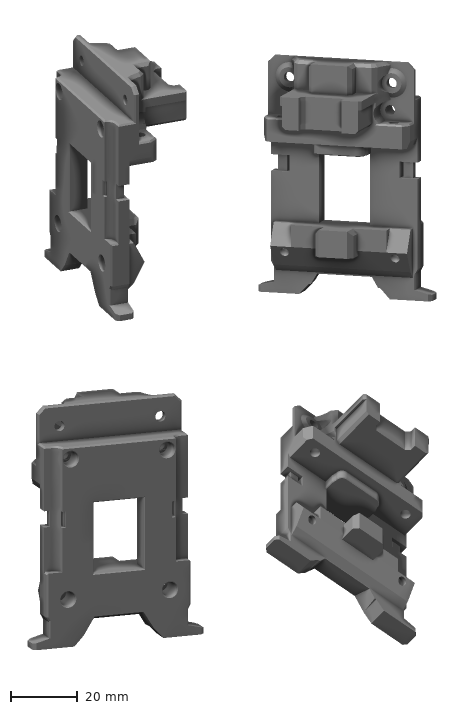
import cadquery as cq
import math

HEIGHT = 72.79
FOOT_HALF = 54.63 / 2
DEPTH = 29.58
HALF_WIDTH = 23.0
PLATE_T = 6.0
EDGE = 0.5

NECK_HALF = 22.2
NECK_EDGE = 0.3
NECK_TOP, SHOULDER_Z = 8.1, 9.6
FOOT_TOP, FOOT_END_Z = 3.2, 1.9
FOOT_CORNER = 1.0
ARCH_BASE_HALF, ARCH_STEP_HALF = 14.25, 11.25
ARCH_FRONT = [(11.25, 3.2), (7.8, 8.7)]
ARCH_BACK = [(10.6, 3.2), (8.6, 6.5)]

WINDOW_HALF, WINDOW_BOTTOM, WINDOW_TOP = 8.05, 21.9, 43.95
WINDOW_EDGE = 0.3

LEDGE_Z = 61.8
BACK_Y = 9.23
FLANGE_FRONT_Y = 7.7
FLANGE_CORNER = 2.1

GROOVE_R, GROOVE_X, GROOVE_BOTTOM = 2.5, 20.65, 23.3

TIE_BOTTOM, TIE_TOP = 37.0, 42.0
TIE_NOTCH_X = 21.2
TIE_SLOT_IN, TIE_SLOT_OUT = 17.3, 18.3
TIE_LIP, TIE_LIP_DEPTH = 0.4, 0.8
TIE_GROOVE_DEPTH = 1.0

SHELF_BOTTOM, SHELF_TOP, SHELF_Y = 47.6, 54.9, 15.7
SHELF_CORNER_X, SHELF_CORNER_Y = 1.8, 2.6
SHELF_UNDERCUT, SHELF_UNDERCUT_X = 2.0, 0.75
SHELF_HOLE_X, SHELF_HOLE_Y, SHELF_HOLE_D = 17.5, 12.1, 3.1

STOP_HALF, STOP_STEP_HALF = 8.0, 8.4
STOP_EDGE = 0.25
STOP_Y, STOP_STEP_Y, STOP_WIDE_Y, STOP_ROUND = 12.75, 10.4, 8.95, 2.3

ARM_HALF, ARM_BOTTOM, ARM_TOP = 12.8, 54.1, 64.0
ARM_UNDER_CHAMFER = 1.0
ARM_STEP_Z = 61.3
ARM_CORNER_X, ARM_CORNER_Y = 0.8, 0.7
NOTCH_HALF, NOTCH_FLOOR_HALF = 6.78, 5.5
NOTCH_FLOOR_Y, NOTCH_CORNER_Y = 26.5, 27.7
TOWER_CORNER = 1.2
TOWER_CHAMFER = 1.0
TONGUE_Y, TONGUE_CORNER = 20.55, 1.2
FLARE_Y = 16.9
FLARE_HALF = 15.5

FLANGE_SCREW_X, FLANGE_SCREW_Z, FLANGE_SCREW_D = 16.13, 66.45, 3.2
FLANGE_HEAD_D, SEAT_BASE_D, SEAT_HEIGHT = 6.1, 8.9, 0.75
SLAB_SCREW_X, SLAB_SCREW_Z, SLAB_SCREW_D = 15.4, 58.05, 3.1
SLAB_HEAD_D = 6.2
RAMP_TOP = (13.0, 56.1)
RAMP_FOOT_X = 14.0
INSERT_D, INSERT_DEPTH = 4.7, 5.7
INSERT_EDGE = 0.25
BRIDGE_STEP = 0.25
LOWER_SCREW_X, LOWER_SCREW_Z, LOWER_DEPTH = 16.25, 14.75, 8.0
VENT_X, VENT_Z, VENT_D, VENT_LENGTH = 17.4, 16.05, 2.8, 6.0

RIB_HALF = 21.5
RIB_FULL_HALF = 15.0
RIB_TOP, RIB_Y = WINDOW_BOTTOM, 11.66
RIB_PROFILE = [(PLATE_T, 6.9), (8.3, 9.0), (RIB_Y, 15.2)]
RIB_SLOPE_Y = 8.2
BLOCK_HALF, BLOCK_BOTTOM, BLOCK_Y, BLOCK_CHAMFER = 6.0, 13.65, 17.2, 1.5


def box(x0, x1, y0, y1, z0, z1):
    """Box given by its limits along each axis."""
    return cq.Workplane("XY").box(x1 - x0, y1 - y0, z1 - z0, centered=False).translate((x0, y0, z0))


def extrude_y(points, y0, y1):
    """Closed XZ outline extruded from y0 to y1."""
    return cq.Workplane("XZ", origin=(0, y0, 0)).polyline(points).close().extrude(y0 - y1)


def extrude_z(points, z0, z1):
    """Closed XY outline extruded from z0 to z1."""
    return cq.Workplane("XY", origin=(0, 0, z0)).polyline(points).close().extrude(z1 - z0)


def cylinder_y(x, z, diameter, y0, y1):
    """Cylinder along Y from y0 to y1."""
    return cq.Workplane("XZ", origin=(x, y0, z)).circle(diameter / 2).extrude(y0 - y1)


def cone_y(x, z, d0, d1, y0, y1):
    """Truncated cone along Y."""
    solid = cq.Solid.makeCone(d0 / 2, d1 / 2, y1 - y0, cq.Vector(x, y0, z), cq.Vector(0, 1, 0))
    return cq.Workplane(obj=solid)


def mirrored(points):
    """Complete a right-hand half outline with its reflection in X = 0."""
    return points + [(-x, other) for x, other in reversed(points)]


def both_sides(solid):
    """The solid together with its reflection in X = 0."""
    return solid.union(solid.mirror("YZ"))


def corner_groove(top):
    """Round-bottomed recess along the right front corner, open to the side."""
    height = top - GROOVE_BOTTOM
    round_part = cq.Workplane("XY", origin=(GROOVE_X, 0, GROOVE_BOTTOM)).circle(GROOVE_R).extrude(height)
    lip = extrude_y([
        (HALF_WIDTH, GROOVE_BOTTOM - EDGE), (HALF_WIDTH, GROOVE_BOTTOM), (HALF_WIDTH - EDGE, GROOVE_BOTTOM),
    ], 0, GROOVE_R)
    return round_part.union(lip).union(box(GROOVE_X, HALF_WIDTH + 1, -1, GROOVE_R, GROOVE_BOTTOM, top))


def arch_cut():
    """Tapering arch between the feet."""
    front = mirrored(ARCH_FRONT)
    back = mirrored(ARCH_BACK)
    taper = (
        cq.Workplane("XZ").polyline(front).close()
        .workplane(offset=-PLATE_T).polyline(back).close()
        .loft(ruled=True)
    )
    return taper.union(extrude_y(mirrored([(ARCH_BASE_HALF, 0), (ARCH_STEP_HALF, FOOT_TOP)]), 0, PLATE_T))


def make_plate():
    """Main plate with neck and feet, front side edges chamfered."""
    outline = mirrored([
        (FOOT_HALF, 0), (FOOT_HALF, FOOT_END_Z), (NECK_HALF, FOOT_TOP), (NECK_HALF, NECK_TOP),
        (HALF_WIDTH, SHOULDER_Z), (HALF_WIDTH, SHELF_TOP),
    ])
    plate = extrude_y(outline, 0, PLATE_T)
    plate = plate.edges("|Z and (<X or >X)").chamfer(FOOT_CORNER)
    limit = HALF_WIDTH + 1
    shoulder_up = cq.selectors.BoxSelector((-limit, -EDGE, NECK_TOP), (limit, EDGE, SHELF_TOP - EDGE))
    plate = plate.edges(shoulder_up).chamfer(EDGE)
    neck = cq.selectors.BoxSelector(
        (-limit, -EDGE, FOOT_TOP + EDGE), (limit, PLATE_T + EDGE, NECK_TOP - EDGE)
    )
    return plate.edges(neck).edges("|Z").chamfer(NECK_EDGE)


def make_slab():
    """Thick top of the plate, its ledge chamfered along the front, sides and grooves."""
    slab = box(-HALF_WIDTH, HALF_WIDTH, 0, BACK_Y, SHELF_BOTTOM + SHELF_UNDERCUT, LEDGE_Z)
    slab = slab.cut(both_sides(corner_groove(LEDGE_Z)))
    return slab.faces(">Z").edges(cq.selectors.BoxSelector(
        (-HALF_WIDTH - 1, -1, LEDGE_Z - EDGE), (HALF_WIDTH + 1, BACK_Y - EDGE, LEDGE_Z + EDGE)
    )).chamfer(EDGE)


def make_flange():
    """Thin upright flange with chamfered front rim."""
    outline = mirrored([
        (HALF_WIDTH, SHELF_TOP), (HALF_WIDTH, HEIGHT - FLANGE_CORNER), (HALF_WIDTH - FLANGE_CORNER, HEIGHT),
    ])
    flange = extrude_y(outline, FLANGE_FRONT_Y, BACK_Y)
    return flange.faces("<Y").edges("not(<Z)").chamfer(EDGE)


def make_shelf():
    """Rear shelf: cropped rear corners, undercut sides and a chamfered top rim."""
    shelf = extrude_z(mirrored([
        (HALF_WIDTH, 0), (HALF_WIDTH, SHELF_Y - SHELF_CORNER_Y), (HALF_WIDTH - SHELF_CORNER_X, SHELF_Y),
    ]), SHELF_BOTTOM, SHELF_TOP)
    rim = cq.selectors.BoxSelector((-HALF_WIDTH - 1, EDGE, SHELF_TOP - EDGE),
                                   (HALF_WIDTH + 1, SHELF_Y + 1, SHELF_TOP + EDGE))
    shelf = shelf.edges(rim).chamfer(EDGE)
    undercut = extrude_y([
        (HALF_WIDTH, SHELF_BOTTOM + SHELF_UNDERCUT),
        (HALF_WIDTH, SHELF_BOTTOM),
        (HALF_WIDTH - SHELF_UNDERCUT_X, SHELF_BOTTOM),
    ], PLATE_T, SHELF_Y)
    hole = (
        cq.Workplane("XY", origin=(SHELF_HOLE_X, SHELF_HOLE_Y, SHELF_BOTTOM))
        .circle(SHELF_HOLE_D / 2).extrude(SHELF_TOP - SHELF_BOTTOM)
    )
    return shelf.cut(both_sides(undercut.union(hole)))


def make_stop():
    """Stepped stop hanging below the shelf, with rounded rear corners."""
    stop = extrude_z(mirrored([
        (STOP_STEP_HALF, 0), (STOP_STEP_HALF, STOP_WIDE_Y), (STOP_HALF, STOP_STEP_Y), (STOP_HALF, STOP_Y),
    ]), WINDOW_TOP, SHELF_BOTTOM)
    stop = stop.edges("|Z and >Y").fillet(STOP_ROUND)
    return stop.faces("<Z").edges("not(<Y)").chamfer(STOP_EDGE)


def flared_prism(height):
    """Prism behind the flange whose sides flare out in arcs towards it."""
    run = FLARE_HALF - ARM_HALF
    rise = FLARE_Y - BACK_Y
    radius = (run ** 2 + rise ** 2) / (2 * run)
    half_angle = math.asin(rise / radius) / 2
    mid_x = ARM_HALF + radius * (1 - math.cos(half_angle))
    mid_y = FLARE_Y - radius * math.sin(half_angle)
    return (
        cq.Workplane("XY", origin=(0, 0, ARM_BOTTOM)).moveTo(FLARE_HALF, BACK_Y)
        .threePointArc((mid_x, mid_y), (ARM_HALF, FLARE_Y))
        .lineTo(-ARM_HALF, FLARE_Y)
        .threePointArc((-mid_x, mid_y), (-FLARE_HALF, BACK_Y))
        .close().extrude(height - ARM_BOTTOM)
    )


def make_tower():
    """Flared tower with a rear tongue; every top edge but the tongue's rear is chamfered."""
    limit = mirrored([
        (FLARE_HALF, 0), (FLARE_HALF, SHELF_Y - TOWER_CORNER - FLARE_HALF + ARM_HALF),
        (ARM_HALF - TOWER_CORNER, SHELF_Y),
    ])
    tower = flared_prism(HEIGHT).intersect(extrude_z(limit, ARM_BOTTOM, HEIGHT))
    tower = tower.union(box(-NOTCH_HALF, NOTCH_HALF, BACK_Y, TONGUE_Y, ARM_TOP, HEIGHT))
    tower = tower.faces(">Z").edges("not(<Y or >Y)").chamfer(TOWER_CHAMFER)
    tongue_corner = extrude_z([
        (NOTCH_HALF, TONGUE_Y - TONGUE_CORNER),
        (NOTCH_HALF, TONGUE_Y),
        (NOTCH_HALF - TONGUE_CORNER, TONGUE_Y),
    ], ARM_TOP, HEIGHT)
    return tower.cut(both_sides(tongue_corner))


def make_arm():
    """Rear arm with a flared root, an end notch and narrower, chamfered lower sides."""
    arm = extrude_z(mirrored([
        (ARM_HALF, BACK_Y), (ARM_HALF, DEPTH - ARM_CORNER_Y), (ARM_HALF - ARM_CORNER_X, DEPTH),
        (NOTCH_HALF, DEPTH), (NOTCH_HALF, NOTCH_CORNER_Y), (NOTCH_FLOOR_HALF, NOTCH_FLOOR_Y),
    ]), ARM_BOTTOM, ARM_TOP)
    lower_half = ARM_HALF - ARM_CORNER_X
    side_cut = extrude_y([
        (FLARE_HALF, ARM_STEP_Z), (lower_half, ARM_STEP_Z), (lower_half, ARM_BOTTOM + ARM_UNDER_CHAMFER),
        (lower_half - ARM_UNDER_CHAMFER, ARM_BOTTOM), (FLARE_HALF, ARM_BOTTOM),
    ], SHELF_Y, DEPTH)
    return arm.union(flared_prism(ARM_TOP)).cut(both_sides(side_cut))


def arm_foot():
    """Sloping foot joining the arm's sides to the shelf."""
    return extrude_y(mirrored([(RAMP_FOOT_X, SHELF_TOP), RAMP_TOP]), BACK_Y, SHELF_Y)


def rear_screw_clearance():
    """Right-hand head clearances behind the flange and above the shelf."""
    seat_y = BACK_Y + SEAT_HEIGHT
    ramp = extrude_y([
        RAMP_TOP, (RAMP_FOOT_X, SHELF_TOP), (HALF_WIDTH, SHELF_TOP), (HALF_WIDTH, RAMP_TOP[1]),
    ], BACK_Y, SHELF_Y)
    return (
        cylinder_y(FLANGE_SCREW_X, FLANGE_SCREW_Z, FLANGE_HEAD_D, seat_y, SHELF_Y)
        .union(cylinder_y(SLAB_SCREW_X, SLAB_SCREW_Z, SLAB_HEAD_D, BACK_Y, SHELF_Y))
        .union(ramp)
    )


def screw_seat():
    """Conical seat on the rear of the flange."""
    return cone_y(FLANGE_SCREW_X, FLANGE_SCREW_Z, SEAT_BASE_D, FLANGE_HEAD_D, BACK_Y, BACK_Y + SEAT_HEIGHT)


def flange_screw_hole():
    """Plain screw hole through the flange and its seat."""
    return cylinder_y(FLANGE_SCREW_X, FLANGE_SCREW_Z, FLANGE_SCREW_D, FLANGE_FRONT_Y, SHELF_Y)


def insert_bore(x, z, depth):
    """Blind insert bore from the front face, with a small lead-in."""
    lead_in = cone_y(x, z, INSERT_D + 2 * INSERT_EDGE, INSERT_D, 0, INSERT_EDGE)
    return cylinder_y(x, z, INSERT_D, 0, depth).union(lead_in)


def slab_screw_hole():
    """Insert bore narrowing to the screw size through a slot and a square."""
    r = SLAB_SCREW_D / 2
    square = box(SLAB_SCREW_X - r, SLAB_SCREW_X + r, INSERT_DEPTH, INSERT_DEPTH + 2 * BRIDGE_STEP,
                 SLAB_SCREW_Z - r, SLAB_SCREW_Z + r)
    slot = cylinder_y(SLAB_SCREW_X, SLAB_SCREW_Z, INSERT_D, INSERT_DEPTH, INSERT_DEPTH + BRIDGE_STEP)
    slot = slot.intersect(box(0, HALF_WIDTH, 0, BACK_Y, SLAB_SCREW_Z - r, SLAB_SCREW_Z + r))
    hole = insert_bore(SLAB_SCREW_X, SLAB_SCREW_Z, INSERT_DEPTH).union(slot).union(square)
    return hole.union(cylinder_y(SLAB_SCREW_X, SLAB_SCREW_Z, SLAB_SCREW_D, INSERT_DEPTH, SHELF_Y))


def lower_screw_hole():
    """Insert bore with a hole running back and down at 45 degrees through the rib."""
    direction = cq.Vector(0, 1, -1)
    start = cq.Vector(VENT_X, LOWER_DEPTH, VENT_Z)
    vent = cq.Solid.makeCylinder(VENT_D / 2, VENT_LENGTH, start, direction)
    return insert_bore(LOWER_SCREW_X, LOWER_SCREW_Z, LOWER_DEPTH).union(cq.Workplane(obj=vent))


def tie_cut():
    """Right-hand cable-tie path: side notch, through slot and rear groove."""
    notch = box(TIE_NOTCH_X, HALF_WIDTH, 0, PLATE_T, TIE_BOTTOM, TIE_TOP)
    slot = box(TIE_SLOT_IN, TIE_SLOT_OUT, 0, PLATE_T, TIE_BOTTOM, TIE_TOP)
    lip = box(TIE_SLOT_IN - TIE_LIP, TIE_SLOT_OUT, 0, TIE_LIP_DEPTH, TIE_BOTTOM, TIE_TOP)
    groove = box(TIE_SLOT_IN, HALF_WIDTH, PLATE_T - TIE_GROOVE_DEPTH, PLATE_T, TIE_BOTTOM, TIE_TOP)
    return notch.union(slot).union(lip).union(groove)


def rib_part(half_width, upper_profile):
    """Rib slice symmetric about X = 0, with the given upper rear outline."""
    profile = [(0, RIB_TOP), (0, RIB_PROFILE[0][1])] + RIB_PROFILE + upper_profile
    return (
        cq.Workplane("YZ", origin=(-half_width, 0, 0))
        .polyline(profile).close().extrude(2 * half_width)
    )


def make_rib():
    """Lower rib, full depth in the middle and sloped at the top towards its ends."""
    outer = rib_part(RIB_HALF, [(RIB_SLOPE_Y, RIB_TOP)])
    return outer.union(rib_part(RIB_FULL_HALF, [(RIB_Y, RIB_TOP)]))


def make_block():
    """Central block behind the rib, chamfered at its rear and upper side edges."""
    block = box(-BLOCK_HALF, BLOCK_HALF, PLATE_T, BLOCK_Y, BLOCK_BOTTOM, RIB_TOP)
    block = block.edges("|Z and >Y").chamfer(BLOCK_CHAMFER)
    return block.faces(">Z").edges("|Y").chamfer(BLOCK_CHAMFER)


def window_cut():
    """Rectangular window with a chamfered front rim."""
    opening = box(-WINDOW_HALF, WINDOW_HALF, 0, PLATE_T, WINDOW_BOTTOM, WINDOW_TOP)
    centre_z = (WINDOW_BOTTOM + WINDOW_TOP) / 2
    rim_width = 2 * (WINDOW_HALF + WINDOW_EDGE)
    rim_height = WINDOW_TOP - WINDOW_BOTTOM + 2 * WINDOW_EDGE
    rim = (
        cq.Workplane("XZ", origin=(0, 0, centre_z))
        .rect(rim_width, rim_height).extrude(-WINDOW_EDGE, taper=45)
    )
    return opening.union(rim)


rear = make_tower().union(make_arm()).cut(both_sides(rear_screw_clearance())).union(arm_foot())
result = make_plate().union(make_rib()).union(make_block())
result = result.union(make_shelf()).union(make_stop())
result = result.cut(both_sides(corner_groove(LEDGE_Z)))
result = result.union(make_slab()).union(make_flange()).union(rear).union(both_sides(screw_seat()))
result = result.cut(arch_cut()).cut(window_cut())
result = result.cut(both_sides(slab_screw_hole())).cut(both_sides(lower_screw_hole()))
result = result.cut(both_sides(flange_screw_hole()))
result = result.cut(both_sides(tie_cut()))